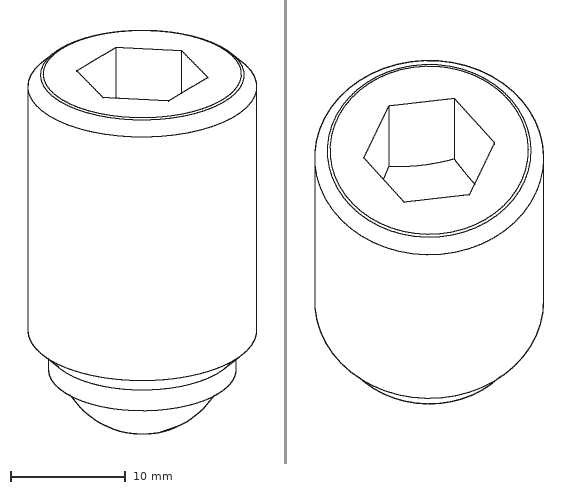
import cadquery as cq
import math


total_height = 34.2
body_radius = 20.0 / 2

face_radius = 8.65
bevel_outer_radius = 8.9
bevel_height = 0.1
top_chamfer = body_radius - bevel_outer_radius

ball_radius = 7.5
collar_radius = 8.2
collar_bottom = 5.47
collar_top = 7.5
bottom_chamfer = body_radius - collar_radius

socket_across_flats = 10.0
socket_depth = 10.0
drill_point_angle = 120.0


def make_ball():
    """Full sphere resting on the lowest plane of the part."""
    return cq.Workplane("XY").sphere(ball_radius).translate((0, 0, ball_radius))


def make_socket():
    """Hexagonal prism whose lower end is trimmed to a cone."""
    corner_radius = socket_across_flats / 2 / math.cos(math.radians(30))
    cone_depth = corner_radius / math.tan(math.radians(drill_point_angle / 2))
    floor_edge = total_height - socket_depth
    apex = floor_edge - cone_depth
    prism = (
        cq.Workplane("XY", origin=(0, 0, apex))
        .polygon(6, 2 * corner_radius)
        .extrude(total_height - apex)
    )
    drilled_hole = (
        cq.Workplane("XZ")
        .moveTo(0, apex)
        .lineTo(corner_radius, floor_edge)
        .lineTo(corner_radius, total_height)
        .lineTo(0, total_height)
        .close()
        .revolve(360, (0, 0, 0), (0, 1, 0))
    )
    return prism.intersect(drilled_hole)


def make_screw(ball):
    """Turned body with the hex socket and a spherical seat for the ball."""
    bevel_bottom = total_height - bevel_height
    profile = [
        (0, collar_bottom),
        (collar_radius, collar_bottom),
        (collar_radius, collar_top),
        (body_radius, collar_top + bottom_chamfer),
        (body_radius, bevel_bottom - top_chamfer),
        (bevel_outer_radius, bevel_bottom),
        (face_radius, total_height),
        (0, total_height),
    ]
    turned = cq.Workplane("XZ").polyline(profile).close().revolve(360, (0, 0, 0), (0, 1, 0))
    return turned.cut(make_socket()).cut(ball)


ball = make_ball()
screw = make_screw(ball)

result = cq.Compound.makeCompound([screw.solids().val(), ball.val()])